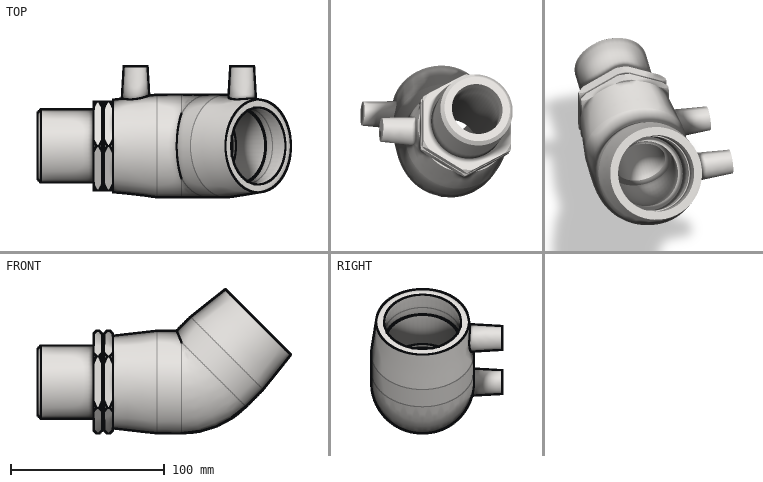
import cadquery as cq
import math

BEND_ANGLE = 45.0
CORNER_X = 104.5
BEND_SETBACK = 10.7
TAPER_START = 26.5
ARM_LENGTH = 55.5
BODY_RADIUS = 67.0 / 2
SOCKET_END_RADIUS = 60.4 / 2
BEND_RADIUS = BEND_SETBACK / math.tan(math.radians(BEND_ANGLE / 2))
BEND_START_X = CORNER_X - BEND_SETBACK

STUB_RADIUS = 47.8 / 2
STUB_CHAMFER = 2.3
STUB_BORE_RADIUS = 33.5 / 2
NECK_RADIUS = 50.0 / 2
NUT_CORNER_DIAMETER = 67.0
NUT_WIDTH = 5.6
NUT_GAP = 1.3
NUT_CHAMFER = 2.0
SOCKET_START_X = CORNER_X - ARM_LENGTH
NUT_STARTS = (SOCKET_START_X - 2 * NUT_WIDTH - NUT_GAP, SOCKET_START_X - NUT_WIDTH)

ELBOW_BORE_RADIUS = 42.2 / 2
MOUTH_RADIUS = 50.0 / 2
MOUTH_DEPTH = 11.9
CONE_END_RADIUS = 49.8 / 2
CONE_END_DEPTH = 17.8
PIPE_SEAT_RADIUS = 48.5 / 2
SEAT_DEPTH = ARM_LENGTH - BEND_SETBACK

POST_DISTANCE = 40.6
POST_END_Y = 52.0
POST_BASE_Y = 28.0
POST_BASE_RADIUS = 9.2
POST_END_RADIUS = 7.84


def revolve_about_x(profile):
    return profile.close().revolve(360, (0, 0, 0), (1, 0, 0))


def cylinder_x(radius, start, end):
    return cq.Workplane("YZ").workplane(offset=start).circle(radius).extrude(end - start)


def to_arm(shape):
    """Move a shape built along X from the origin onto the angled arm."""
    return shape.rotate((0, 0, 0), (0, 1, 0), -BEND_ANGLE).translate((CORNER_X, 0, 0))


def socket():
    """Straight sleeve whose outside narrows in a cone to the end; starts at the bend."""
    profile = (
        cq.Workplane("XZ")
        .moveTo(BEND_SETBACK, 0)
        .lineTo(BEND_SETBACK, BODY_RADIUS)
        .lineTo(TAPER_START, BODY_RADIUS)
        .lineTo(ARM_LENGTH, SOCKET_END_RADIUS)
        .lineTo(ARM_LENGTH, 0)
    )
    return revolve_about_x(profile)


def bend(radius):
    """Sweep a disc through the bend, keeping only the part outside the pivot line."""
    disc = cylinder_x(radius, 0, BEND_SETBACK)
    below_pivot = cq.Workplane("XY").box(4 * radius, 4 * radius, 4 * radius, centered=(True, True, False))
    below_pivot = below_pivot.translate((0, 0, BEND_RADIUS - 4 * radius))
    face = disc.intersect(below_pivot).faces("<X").val()
    pivot_start = cq.Vector(0, 0, BEND_RADIUS)
    pivot_end = cq.Vector(0, -1.6, BEND_RADIUS)
    turned = cq.Solid.revolve(face, BEND_ANGLE, pivot_start, pivot_end)
    return cq.Workplane(turned).translate((BEND_START_X, 0, 0))


def hex_nut(start):
    nut = cq.Workplane("YZ").workplane(offset=start).polygon(6, NUT_CORNER_DIAMETER)
    nut = nut.extrude(NUT_WIDTH).rotate((0, 0, 0), (1, 0, 0), 90)
    disc = cylinder_x(NUT_CORNER_DIAMETER / 2, start, start + NUT_WIDTH)
    return nut.intersect(disc.edges("%CIRCLE").chamfer(NUT_CHAMFER))


def adapter():
    stub = cylinder_x(STUB_RADIUS, 0, SOCKET_START_X).faces("<X").chamfer(STUB_CHAMFER)
    shape = stub.union(cylinder_x(NECK_RADIUS, NUT_STARTS[0], SOCKET_START_X))
    for start in NUT_STARTS:
        shape = shape.union(hex_nut(start))
    return shape


def post():
    profile = (
        cq.Workplane("XY")
        .moveTo(0, POST_BASE_Y)
        .lineTo(POST_BASE_RADIUS, POST_BASE_Y)
        .lineTo(POST_END_RADIUS, POST_END_Y)
        .lineTo(0, POST_END_Y)
    )
    post_at_axis = profile.close().revolve(360, (0, 0, 0), (0, 1, 0))
    return post_at_axis.translate((POST_DISTANCE, 0, 0))


def arm_bore():
    profile = (
        cq.Workplane("XZ")
        .moveTo(ARM_LENGTH, 0)
        .lineTo(ARM_LENGTH, MOUTH_RADIUS)
        .lineTo(ARM_LENGTH - MOUTH_DEPTH, MOUTH_RADIUS)
        .lineTo(ARM_LENGTH - CONE_END_DEPTH, CONE_END_RADIUS)
        .lineTo(ARM_LENGTH - CONE_END_DEPTH, PIPE_SEAT_RADIUS)
        .lineTo(ARM_LENGTH - SEAT_DEPTH, PIPE_SEAT_RADIUS)
        .lineTo(ARM_LENGTH - SEAT_DEPTH, 0)
    )
    return revolve_about_x(profile)


fitting = socket().union(post())
straight_arm = fitting.mirror("YZ").translate((CORNER_X, 0, 0))
body = bend(BODY_RADIUS).union(straight_arm).union(to_arm(fitting)).union(adapter())

result = (
    body.cut(cylinder_x(STUB_BORE_RADIUS, 0, BEND_START_X))
    .cut(bend(ELBOW_BORE_RADIUS))
    .cut(to_arm(arm_bore()))
)